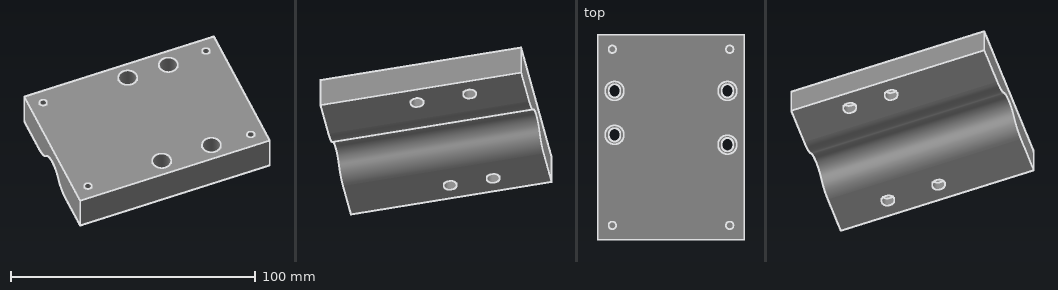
import cadquery as cq
import math

length = 84.0
width = 60.0
height = 16.0

crown_radius = 7.5
shoulder_radius = 10.0

corner_hole_diameter = 3.1
corner_hole_depth = 10.0
corner_hole_inset = 6.0

counterbore_diameter = 7.7
counterbore_depth = 10.0
slot_width = 4.6
slot_length = 5.4
slot_x = 23.1
upper_slot_y = 19.0
lower_left_slot_y = 1.0
lower_right_slot_y = -3.0
slot_centers = [
    (-slot_x, upper_slot_y),
    (slot_x, upper_slot_y),
    (-slot_x, lower_left_slot_y),
    (slot_x, lower_right_slot_y),
]


def grooved_block():
    """Extrude the end profile of the block, groove included, along Y."""
    center_distance = crown_radius + shoulder_radius
    shoulder_x = math.sqrt(center_distance**2 - shoulder_radius**2)
    blend_x = shoulder_x * crown_radius / center_distance
    blend_z = shoulder_radius * crown_radius / center_distance

    half_sweep = math.atan2(shoulder_x, shoulder_radius) / 2
    middle_x = shoulder_x - shoulder_radius * math.sin(half_sweep)
    middle_z = shoulder_radius * (1 - math.cos(half_sweep))

    return (
        cq.Workplane("XZ")
        .moveTo(-width / 2, 0)
        .lineTo(-shoulder_x, 0)
        .threePointArc((-middle_x, middle_z), (-blend_x, blend_z))
        .threePointArc((0, crown_radius), (blend_x, blend_z))
        .threePointArc((middle_x, middle_z), (shoulder_x, 0))
        .lineTo(width / 2, 0)
        .lineTo(width / 2, height)
        .lineTo(-width / 2, height)
        .close()
        .extrude(length / 2, both=True)
    )


def corner_holes():
    """Cutters for the four blind holes near the corners of the top face."""
    return (
        cq.Workplane("XY", origin=(0, 0, height))
        .rect(width - 2 * corner_hole_inset, length - 2 * corner_hole_inset, forConstruction=True)
        .vertices()
        .circle(corner_hole_diameter / 2)
        .extrude(-corner_hole_depth)
    )


def mounting_slots():
    """Cutters for the through slots and the round counterbores above them."""
    top = cq.Workplane("XY", origin=(0, 0, height)).pushPoints(slot_centers)
    slots = top.slot2D(slot_length, slot_width, 90).extrude(-height)
    counterbores = top.circle(counterbore_diameter / 2).extrude(-counterbore_depth)
    return slots.union(counterbores)


result = grooved_block().cut(corner_holes()).cut(mounting_slots())